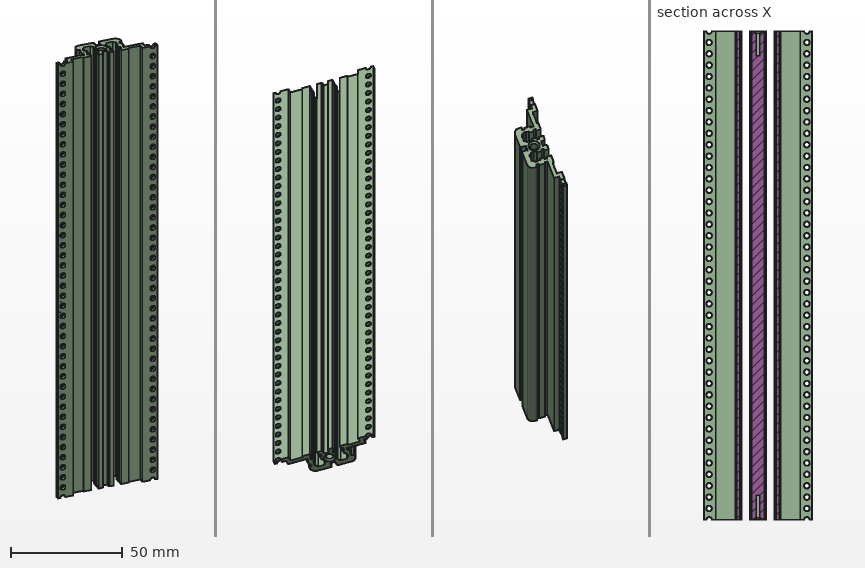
import cadquery as cq
import math

LENGTH = 218.5
WIDTH = 48.3
DEPTH = 13.5
BACK_X = -DEPTH / 2
FRONT_X = DEPTH / 2
EDGE_Y = WIDTH / 2

WALL = 2.0
FLANGE_INNER_Y = 16.8
FLANGE_X = FRONT_X - WALL
WEB_X = 2.5
STEP_Y = FLANGE_INNER_Y + WALL

BODY_Y = 11.0
BODY_FRONT_X = 5.0
BACK_BLOCK_X = -2.8
BACK_RADIUS = 2.6
ARM_Y = 9.6
RIB_START_X = -1.7
RIB_END_X = 1.0
RIB_HEIGHT = 0.7

CHANNEL_Y = 5.5
MOUTH_WIDTH = 3.5
CAVITY_BACK_X = -4.2
CAVITY_BACK_WIDTH = 3.0
CAVITY_WIDTH = 4.8
LIP_X = -0.5
GROOVES_WIDTH = 5.2
FRONT_GROOVE_START_X = 1.7
FRONT_GROOVE_END_X = 2.8

SLOT_WIDTH = 2.5
BACK_SLOT_DEPTH = 2.6
FRONT_SLOT_DEPTH = 2.0
SLOT_EDGE = 0.5

BORE_X = -0.7
BORE_DIAMETER = 2.5
SCREW_DIAMETER = 3.3
SCREW_DEPTH = 11.0
SINK_DIAMETER = 5.0
SINK_DEPTH = (SINK_DIAMETER - SCREW_DIAMETER) / 2

HOLE_DIAMETER = 2.5
HOLE_Y = 21.8
PITCH_COUNT = 43
HOLE_PITCH = LENGTH / PITCH_COUNT


def half_solid():
    """The +Y half of the profile before the channels are cut."""
    outline = (
        cq.Workplane("XY", origin=(0, 0, -LENGTH / 2))
        .moveTo(BACK_X, 0)
        .lineTo(BACK_X, BODY_Y - BACK_RADIUS)
        .radiusArc((BACK_X + BACK_RADIUS, BODY_Y), BACK_RADIUS)
        .lineTo(BACK_BLOCK_X, BODY_Y)
        .lineTo(BACK_BLOCK_X, ARM_Y)
        .lineTo(RIB_START_X, ARM_Y)
        .lineTo(RIB_START_X, ARM_Y + RIB_HEIGHT)
        .lineTo(RIB_END_X, ARM_Y + RIB_HEIGHT)
        .lineTo(RIB_END_X, ARM_Y)
        .lineTo(WEB_X, ARM_Y)
        .lineTo(WEB_X, STEP_Y)
        .lineTo(FLANGE_X, STEP_Y)
        .lineTo(FLANGE_X, EDGE_Y)
        .lineTo(FRONT_X, EDGE_Y)
        .lineTo(FRONT_X, FLANGE_INNER_Y)
        .lineTo(WEB_X + WALL, FLANGE_INNER_Y)
        .lineTo(WEB_X + WALL, BODY_Y)
        .lineTo(BODY_FRONT_X, BODY_Y)
        .lineTo(BODY_FRONT_X, 0)
        .close()
    )
    return outline.extrude(LENGTH)


def channel():
    """T-shaped cavity with a mouth towards +X and two pairs of grooves."""
    mouth = MOUTH_WIDTH / 2
    cavity = CAVITY_WIDTH / 2
    groove = GROOVES_WIDTH / 2
    upper = [
        (CAVITY_BACK_X, CAVITY_BACK_WIDTH / 2),
        (BACK_BLOCK_X, cavity),
        (BACK_BLOCK_X, groove),
        (RIB_START_X, groove),
        (RIB_START_X, cavity),
        (LIP_X, cavity),
        (LIP_X, mouth),
        (FRONT_GROOVE_START_X, mouth),
        (FRONT_GROOVE_START_X, groove),
        (FRONT_GROOVE_END_X, groove),
        (FRONT_GROOVE_END_X, mouth),
        (BODY_FRONT_X, mouth),
    ]
    lower = [(x, -y) for x, y in reversed(upper)]
    outline = cq.Workplane("XY", origin=(0, CHANNEL_Y, -LENGTH / 2)).polyline(upper + lower).close()
    return outline.extrude(LENGTH)


def bore():
    """Lengthwise bore with a wider, countersunk screw hole at both ends."""
    bore_radius = BORE_DIAMETER / 2
    screw_radius = SCREW_DIAMETER / 2
    sink_radius = SINK_DIAMETER / 2
    end_z = LENGTH / 2
    top_profile = [
        (bore_radius, end_z - SCREW_DEPTH),
        (screw_radius, end_z - SCREW_DEPTH),
        (screw_radius, end_z - SINK_DEPTH),
        (sink_radius, end_z),
        (0, end_z),
    ]
    bottom_profile = [(radius, -z) for radius, z in reversed(top_profile)]
    profile = cq.Workplane("XZ").polyline(top_profile + bottom_profile).close()
    return profile.revolve(360, (0, 0, 0), (0, 1, 0)).translate((BORE_X, 0, 0))


def mounting_holes():
    """Row of holes along each flange."""
    points = [
        (side * HOLE_Y, i * HOLE_PITCH - LENGTH / 2)
        for side in (-1, 1)
        for i in range(PITCH_COUNT + 1)
    ]
    row = cq.Workplane("YZ", origin=(FLANGE_X, 0, 0)).pushPoints(points)
    return row.circle(HOLE_DIAMETER / 2).extrude(WALL)


def slot(face_x, floor_x):
    """Full-length slot on the centre plane with bevelled edges at its mouth."""
    half_width = SLOT_WIDTH / 2
    bevel_x = face_x + math.copysign(SLOT_EDGE, floor_x - face_x)
    upper = [(face_x, half_width + SLOT_EDGE), (bevel_x, half_width), (floor_x, half_width)]
    lower = [(x, -y) for x, y in reversed(upper)]
    outline = cq.Workplane("XY", origin=(0, 0, -LENGTH / 2)).polyline(upper + lower).close()
    return outline.extrude(LENGTH)


half = half_solid().cut(channel())
body = half.union(half.mirror("XZ"))
body = body.cut(slot(BACK_X, BACK_X + BACK_SLOT_DEPTH))
body = body.cut(slot(BODY_FRONT_X, BODY_FRONT_X - FRONT_SLOT_DEPTH))
result = body.cut(bore()).cut(mounting_holes())